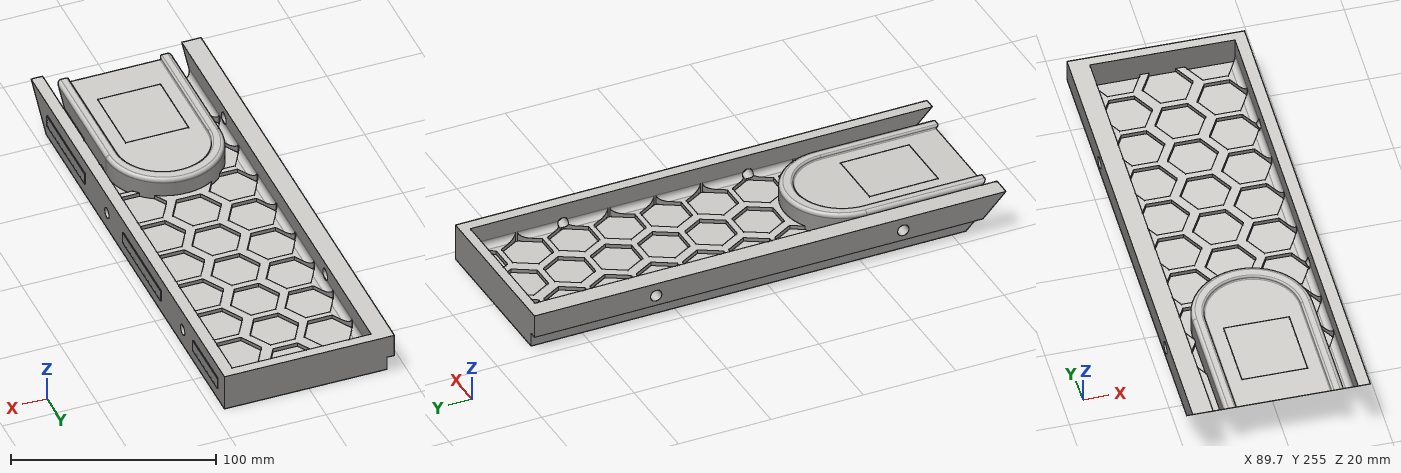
import cadquery as cq
import math

LENGTH = 255.0
HEIGHT = 20.0
CHANNEL_WIDTH = 73.0
LEFT_WALL = 10.2
RIGHT_WALL = 6.0
END_WALL = 5.0
FLOOR_Z = 7.5
FLOOR_FILLET = 3.3
LEDGE_WIDTH = 3.8

HEX_FLATS = 22.2
HEX_DEPTH = 2.0
HEX_COLUMN_SPACING = 24.0
SIDE_HEX_PITCH = 25.0
SIDE_HEX_COUNT = 9
MIDDLE_HEX_PITCH = 25.5
MIDDLE_HEX_COUNT = 6
MIDDLE_HEX_OFFSET = 10.7

BACKING_FRONT_Y = -102.0

ARCH_RADIUS = 30.0
ARCH_CENTRE_Y = -60.2
ARCH_TOP_Z = 17.3
ARCH_FILLET = 2.0
RECESS_RADIUS = 24.0
RECESS_CENTRE_Y = -61.2
RECESS_DEPTH = 1.5
RIM_FILLET = 1.0
RECESS_FLOOR_FILLET = 0.45

LABEL_WIDTH = 33.0
LABEL_LENGTH = 37.0
LABEL_THICKNESS = 1.0
LABEL_CENTRE_Y = -86.7
LABEL_CLEARANCE = 0.13

LEFT_HOLE_DIAMETER = 6.0
LEFT_HOLE_Z = 13.0
LEFT_HOLE_YS = (61.7, -72.0)
RIGHT_HOLE_DIAMETER = 5.5
RIGHT_HOLE_Z = 9.2
RIGHT_HOLE_YS = (72.5, -27.5)

TAB_PROTRUSION = 0.5
TAB_HEIGHT = 6.0
TAB_BOTTOM_Z = 7.0
TAB_SPANS = ((-105.5, -55.5), (-5.5, 44.4), (86.7, 119.3))

HALF_CHANNEL = CHANNEL_WIDTH / 2
LEFT_X = -HALF_CHANNEL - LEFT_WALL
RIGHT_X = HALF_CHANNEL + RIGHT_WALL
BACK_Y = LENGTH / 2
FRONT_Y = -LENGTH / 2
CHANNEL_BACK_Y = BACK_Y - END_WALL
WINDOW_BOTTOM_Z = FLOOR_Z - HEX_DEPTH
RECESS_Z = ARCH_TOP_Z - RECESS_DEPTH

SELECT_MARGIN = 0.03


def box(x0, x1, y0, y1, z0, z1):
    return cq.Workplane("XY").box(x1 - x0, y1 - y0, z1 - z0, centered=False).translate((x0, y0, z0))


def channel():
    """Space between the walls, open at the front, with rounded lower corners."""
    space = box(-HALF_CHANNEL, HALF_CHANNEL, FRONT_Y, CHANNEL_BACK_Y, FLOOR_Z, HEIGHT)
    return space.edges("|Y and <Z").fillet(FLOOR_FILLET)


def hex_windows():
    """Honeycomb of hexagonal prisms, trimmed to the width and back end of the channel."""
    centres = []
    for row in range(SIDE_HEX_COUNT):
        y = CHANNEL_BACK_Y - row * SIDE_HEX_PITCH
        centres += [(-HEX_COLUMN_SPACING, y), (HEX_COLUMN_SPACING, y)]
    for row in range(MIDDLE_HEX_COUNT):
        centres.append((0, CHANNEL_BACK_Y - MIDDLE_HEX_OFFSET - row * MIDDLE_HEX_PITCH))
    corner_diameter = HEX_FLATS / math.cos(math.pi / 6)
    prisms = (
        cq.Workplane("XY", origin=(0, 0, WINDOW_BOTTOM_Z))
        .pushPoints(centres)
        .polygon(6, corner_diameter)
        .extrude(HEX_DEPTH + FLOOR_FILLET)
    )
    return prisms.intersect(box(-HALF_CHANNEL, HALF_CHANNEL, FRONT_Y, CHANNEL_BACK_Y, 0, HEIGHT))


def arch(radius, centre_y, z0, z1):
    """Prism with a round back end and straight sides running to the front."""
    return (
        cq.Workplane("XY", origin=(0, 0, z0))
        .moveTo(-radius, FRONT_Y)
        .lineTo(-radius, centre_y)
        .threePointArc((0, centre_y + radius), (radius, centre_y))
        .lineTo(radius, FRONT_Y)
        .close()
        .extrude(z1 - z0)
    )


def platform():
    body = arch(ARCH_RADIUS, ARCH_CENTRE_Y, WINDOW_BOTTOM_Z, ARCH_TOP_Z)
    body = body.faces(">Z").edges("not(<Y)").fillet(ARCH_FILLET)
    recess = arch(RECESS_RADIUS, RECESS_CENTRE_Y, RECESS_Z, ARCH_TOP_Z)
    recess = recess.faces("<Z").edges("not(<Y)").fillet(RECESS_FLOOR_FILLET)
    body = body.cut(recess)
    rim_edges = cq.selectors.BoxSelector(
        (-RECESS_RADIUS - SELECT_MARGIN, FRONT_Y + SELECT_MARGIN, ARCH_TOP_Z - SELECT_MARGIN),
        (RECESS_RADIUS + SELECT_MARGIN, BACK_Y, ARCH_TOP_Z + SELECT_MARGIN),
    )
    return body.edges(rim_edges).edges("not(<Y)").fillet(RIM_FILLET)


def label_block(clearance):
    """Label plate outline, grown sideways by the clearance; its top is level with the recess floor."""
    half_width = LABEL_WIDTH / 2 + clearance
    half_length = LABEL_LENGTH / 2 + clearance
    return box(
        -half_width,
        half_width,
        LABEL_CENTRE_Y - half_length,
        LABEL_CENTRE_Y + half_length,
        RECESS_Z - LABEL_THICKNESS,
        RECESS_Z,
    )


def wall_holes(x0, x1, diameter, z, ys):
    return (
        cq.Workplane("YZ", origin=(x0, 0, 0))
        .pushPoints([(y, z) for y in ys])
        .circle(diameter / 2)
        .extrude(x1 - x0)
    )


def front_wedge():
    """Material removed to slope the front end back by 45 degrees towards the underside."""
    return (
        cq.Workplane("YZ", origin=(LEFT_X, 0, 0))
        .polyline([(FRONT_Y, HEIGHT), (FRONT_Y, 0), (FRONT_Y + HEIGHT, 0)])
        .close()
        .extrude(RIGHT_X - LEFT_X)
    )


def make_backing_plate():
    return box(-HALF_CHANNEL, HALF_CHANNEL, BACKING_FRONT_Y, CHANNEL_BACK_Y, 0, WINDOW_BOTTOM_Z)


def make_label_plate():
    return label_block(0)


def make_tray():
    body = box(LEFT_X, RIGHT_X, FRONT_Y, BACK_Y, 0, HEIGHT)
    body = body.cut(channel()).cut(hex_windows())
    body = body.union(platform())
    body = body.cut(box(LEFT_X, LEFT_X + LEDGE_WIDTH, FRONT_Y, BACK_Y, 0, FLOOR_Z))
    body = body.cut(make_backing_plate())
    body = body.cut(label_block(LABEL_CLEARANCE))
    body = body.cut(wall_holes(LEFT_X, -HALF_CHANNEL, LEFT_HOLE_DIAMETER, LEFT_HOLE_Z, LEFT_HOLE_YS))
    right_start = HALF_CHANNEL - FLOOR_FILLET
    body = body.cut(wall_holes(right_start, RIGHT_X, RIGHT_HOLE_DIAMETER, RIGHT_HOLE_Z, RIGHT_HOLE_YS))
    for y0, y1 in TAB_SPANS:
        tab = box(RIGHT_X, RIGHT_X + TAB_PROTRUSION, y0, y1, TAB_BOTTOM_Z, TAB_BOTTOM_Z + TAB_HEIGHT)
        body = body.union(tab)
    return body.cut(front_wedge()).solids()


tray = make_tray()
backing_plate = make_backing_plate()
label_plate = make_label_plate()

result = cq.Compound.makeCompound([tray.val(), backing_plate.val(), label_plate.val()])